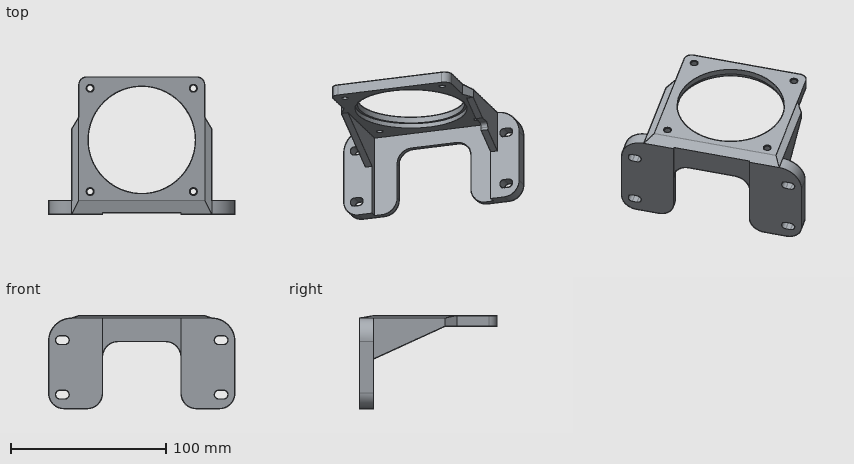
import cadquery as cq

width = 120.0
depth = 88.5
height = 60.0

plate_width = 81.1
plate_thickness = 7.0
plate_corner_radius = 5.0
bore_diameter = 69.0
bore_depth = 4.0
lower_bore_diameter = 72.0
screw_spacing = 66.5
screw_diameter = 4.1
screw_mouth_diameter = 5.0
screw_mouth_depth = (screw_mouth_diameter - screw_diameter) / 2
plate_centre_y = depth - plate_width / 2

wall_thickness = 9.1
recessed_wall_thickness = 4.2
wall_drop = 1.5
outer_top_radius = 15.0
leg_corner_radius = 10.1
opening_width = 50.4
opening_top = -16.8
opening_radius = 10.0
relief_depth = 1.0

slot_length = 8.6
slot_height = 5.5
slot_spacing_x = 102.2
slot_spacing_z = 35.0
upper_slot_z = -15.8

bracket_width = 90.2
gusset_end_y = 55.1
flare_end_y = 62.8
gusset_bottom = -28.0

notch_top = -15.0
notch_front_y = 27.4
notch_radius = 2.9

half_plate = plate_width / 2
half_bracket = bracket_width / 2
half_width = width / 2
half_opening = opening_width / 2


def box(x_range, y_range, z_range):
    """Box spanning the given (low, high) limits."""
    (x0, x1), (y0, y1), (z0, z1) = x_range, y_range, z_range
    return cq.Workplane("XY").box(x1 - x0, y1 - y0, z1 - z0, centered=False).translate((x0, y0, z0))


def make_bracket():
    """Plate, gussets and top of the wall, with the top bevelled at the front and sides."""
    plan = cq.Workplane("XY").polyline([
        (-half_bracket, 0),
        (half_bracket, 0),
        (half_bracket, gusset_end_y),
        (half_plate, flare_end_y),
        (half_plate, depth),
        (-half_plate, depth),
        (-half_plate, flare_end_y),
        (-half_bracket, gusset_end_y),
    ]).close().extrude(-height)
    plan = plan.edges("|Z and >Y").fillet(plate_corner_radius)

    side_profile = cq.Workplane("YZ").polyline([
        (0, -wall_drop),
        (wall_thickness, 0),
        (depth, 0),
        (depth, -plate_thickness),
        (gusset_end_y, -plate_thickness),
        (wall_thickness, gusset_bottom),
        (0, gusset_bottom),
    ]).close().extrude(half_bracket, both=True)

    cross_section = cq.Workplane("XZ").polyline([
        (-half_bracket, -height),
        (-half_bracket, -wall_drop),
        (-half_plate, 0),
        (half_plate, 0),
        (half_bracket, -wall_drop),
        (half_bracket, -height),
    ]).close().extrude(-depth)
    return plan.intersect(side_profile).intersect(cross_section)


def make_wall():
    """Wall slab with rounded outer corners."""
    slab = box((-half_width, half_width), (0, wall_thickness), (-height, -wall_drop))
    slab = slab.edges("|Y and >Z").fillet(outer_top_radius)
    return slab.edges("|Y and <Z").fillet(leg_corner_radius)


def make_wall_opening():
    """Opening between the legs, flared out where it rounds their inner lower corners."""
    opening = box((-half_opening, half_opening), (0, wall_thickness), (-height, opening_top))
    opening = opening.edges("|Y and >Z").fillet(opening_radius)
    for side in (-1, 1):
        inner_x = side * half_opening
        outer_x = inner_x + side * leg_corner_radius
        limits = (min(inner_x, outer_x), max(inner_x, outer_x))
        corner = box(limits, (0, wall_thickness), (-height, -height + leg_corner_radius))
        rounding = (
            cq.Workplane("XZ")
            .center(outer_x, -height + leg_corner_radius)
            .circle(leg_corner_radius)
            .extrude(-wall_thickness)
        )
        opening = opening.union(corner.cut(rounding))
    return opening


def make_slots():
    """Four horizontal slots through the wall."""
    lower_slot_z = upper_slot_z - slot_spacing_z
    centres = [(x, z) for x in (-slot_spacing_x / 2, slot_spacing_x / 2) for z in (upper_slot_z, lower_slot_z)]
    return cq.Workplane("XZ").pushPoints(centres).slot2D(slot_length, slot_height).extrude(-wall_thickness)


def make_screw_holes():
    """Four screw holes through the plate, countersunk slightly at the top."""
    hole = cq.Workplane("XY").circle(screw_diameter / 2).extrude(-plate_thickness)
    mouth = (
        cq.Workplane("XY")
        .circle(screw_mouth_diameter / 2)
        .workplane(offset=-screw_mouth_depth)
        .circle(screw_diameter / 2)
        .loft()
    )
    cutter = hole.union(mouth)
    holes = cq.Workplane("XY")
    for x in (-screw_spacing / 2, screw_spacing / 2):
        for y in (-screw_spacing / 2, screw_spacing / 2):
            holes = holes.add(cutter.translate((x, plate_centre_y + y, 0)))
    return holes.combine()


def make_notch():
    """Notch through the -X gusset, rounded at its upper front corner."""
    notch = box((-half_bracket, -half_plate), (notch_front_y, gusset_end_y), (gusset_bottom, notch_top))
    return notch.edges("|X and >Z and <Y").fillet(notch_radius)


def make_bore():
    """Stepped bore through the plate, wider underneath."""
    upper = cq.Workplane("XY").circle(bore_diameter / 2).extrude(-bore_depth)
    lower = (
        cq.Workplane("XY")
        .workplane(offset=-bore_depth)
        .circle(lower_bore_diameter / 2)
        .extrude(bore_depth - plate_thickness)
    )
    return upper.union(lower).translate((0, plate_centre_y, 0))


clearance = box((-half_plate, half_plate), (recessed_wall_thickness, depth), (-height, -plate_thickness))
front_relief = box((-half_opening, half_opening), (0, relief_depth), (-height, 0))

result = make_bracket().union(make_wall())
for cutter in (
    clearance,
    make_wall_opening(),
    front_relief,
    make_bore(),
    make_slots(),
    make_screw_holes(),
    make_notch(),
):
    result = result.cut(cutter)